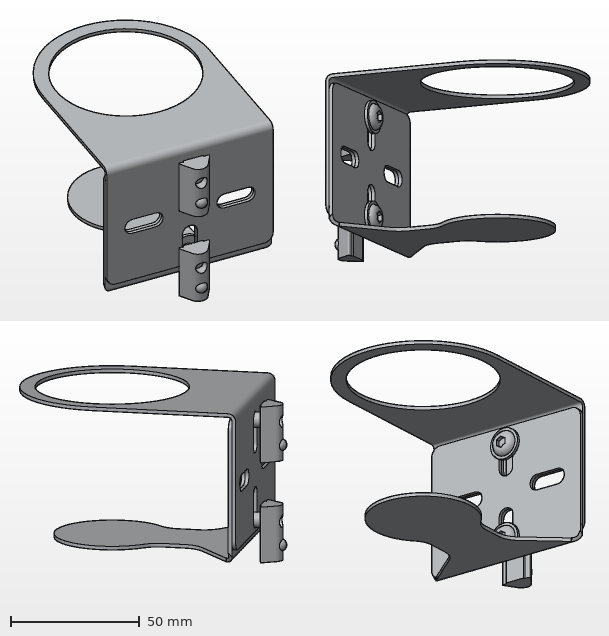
import cadquery as cq
import math


overall_length = 105.5

sheet = 1.5
bracket_width = 72.0
bracket_height = 60.0
flange_back_x = 57.0
joint_x = flange_back_x - sheet
flange_front_x = joint_x - sheet
bend_inner_radius = 1.5
bend_outer_radius = bend_inner_radius + sheet
flange_corner_radius = 4.0
half_width = bracket_width / 2

ring_hole_diameter = 60.0
ring_flange_bottom_z = 5.0

disc_diameter = 45.4
neck_width = 26.0
neck_end_x = 36.4
neck_fillet = 10.0
taper_end_width = 65.2
support_flange_top_z = bracket_height - bend_outer_radius

screw_pitch = 40.0
screw_middle_z = 29.6
screw_heights = [screw_middle_z - screw_pitch / 2, screw_middle_z + screw_pitch / 2]

slot_width = 6.5
slot_length = 16.5
slot_travel = slot_length - slot_width
side_slot_offset = 19.9
side_slot_z = bracket_height / 2
center_slot_offset = (screw_pitch - slot_travel) / 2

shank_diameter = 6.0
shank_length = 10.0
head_flange_diameter = 13.0
head_flange_thickness = 1.3
dome_base_diameter = 10.5
dome_top_diameter = 5.2
dome_height = 2.2
socket_across_flats = 4.0
socket_depth = 1.7

nut_length = 22.3
nut_front_x = 59.7
nut_shoulder_x = 60.3
nut_lip_front_width = 8.3
nut_lip_root_width = 9.0
nut_nose_radius = 4.0
nut_nose_tip_x = 67.9
nut_side_angle = 32
nut_corner_radius = 0.47
thread_bore_diameter = 5.0
screw_above_nut_middle = 4.4
ball_diameter = 5.0
ball_below_screw = 9.5
ball_tip_x = overall_length - half_width


def angle_section(points, bend_radii):
    """Bent strip of full width: an L section in XZ, with its two bend edges rounded."""
    strip = cq.Workplane("XZ").polyline(points).close().extrude(half_width, both=True)
    for (x, z), radius in bend_radii:
        bend_edge = cq.selectors.NearestToPointSelector((x, 0, z))
        strip = strip.edges(bend_edge).fillet(radius)
    return strip


def slot_cutter():
    """The four slots of a flange, long enough to pass through both flanges."""
    depth = 4 * sheet
    plane = cq.Plane(origin=(flange_front_x - sheet, 0, 0), xDir=(0, 1, 0), normal=(1, 0, 0))
    side_slots = (
        cq.Workplane(plane)
        .pushPoints([(-side_slot_offset, side_slot_z), (side_slot_offset, side_slot_z)])
        .slot2D(slot_length, slot_width)
        .extrude(depth)
    )
    center_slots = (
        cq.Workplane(plane)
        .pushPoints([
            (0, screw_middle_z - center_slot_offset),
            (0, screw_middle_z + center_slot_offset),
        ])
        .slot2D(slot_length, slot_width, 90)
        .extrude(depth)
    )
    return side_slots.union(center_slots)


def make_ring_bracket():
    plate_bottom_z = bracket_height - sheet
    body = angle_section(
        [
            (-half_width, bracket_height),
            (flange_back_x, bracket_height),
            (flange_back_x, ring_flange_bottom_z),
            (joint_x, ring_flange_bottom_z),
            (joint_x, plate_bottom_z),
            (-half_width, plate_bottom_z),
        ],
        [
            ((flange_back_x, bracket_height), bend_outer_radius),
            ((joint_x, plate_bottom_z), bend_inner_radius),
        ],
    )
    outline = (
        cq.Workplane("XY")
        .moveTo(0, half_width)
        .threePointArc((-half_width, 0), (0, -half_width))
        .lineTo(flange_back_x, -half_width)
        .lineTo(flange_back_x, half_width)
        .close()
        .extrude(bracket_height)
    )
    ring_hole = cq.Workplane("XY").circle(ring_hole_diameter / 2).extrude(bracket_height)
    body = body.intersect(outline.cut(ring_hole))
    body = body.edges("|X").edges("<Z").fillet(flange_corner_radius)
    return body.cut(slot_cutter())


def support_outline():
    """Plan shape of the support bracket: disc, neck and taper, then the full-width flange."""
    bend_start_x = joint_x - bend_outer_radius
    half_neck = neck_width / 2
    half_taper = taper_end_width / 2
    disc = cq.Workplane("XY").circle(disc_diameter / 2).extrude(bracket_height)
    neck = (
        cq.Workplane("XY")
        .polyline([
            (0, -half_neck),
            (neck_end_x, -half_neck),
            (bend_start_x, -half_taper),
            (bend_start_x, half_taper),
            (neck_end_x, half_neck),
            (0, half_neck),
        ])
        .close()
        .extrude(bracket_height)
    )
    inner_corners = cq.selectors.BoxSelector(
        (0, -half_width, 0), (neck_end_x + sheet, half_width, bracket_height)
    )
    arm = disc.union(neck).edges("|Z").edges(inner_corners).fillet(neck_fillet)
    flange = (
        cq.Workplane("XY")
        .rect(bend_outer_radius, bracket_width)
        .extrude(bracket_height)
        .translate((joint_x - bend_outer_radius / 2, 0, 0))
    )
    return arm.union(flange)


def bend_corner_cutter():
    """Trims both ends of the lower bend so that its width runs on from the taper."""
    bend_axis = (joint_x - bend_outer_radius, 0, bend_outer_radius)
    plane = cq.Plane(origin=bend_axis, xDir=(1, 0, 1), normal=(1, 0, -1))
    reach = bend_outer_radius / math.sqrt(2)
    half_taper = taper_end_width / 2
    corner = [(-reach, half_taper), (reach, half_width), (-reach, half_width)]
    cutter = cq.Workplane(plane).polyline(corner).close().extrude(2 * bend_outer_radius)
    return cutter.union(cutter.mirror("XZ"))


def make_support_bracket():
    body = angle_section(
        [
            (-disc_diameter / 2, 0),
            (joint_x, 0),
            (joint_x, support_flange_top_z),
            (flange_front_x, support_flange_top_z),
            (flange_front_x, sheet),
            (-disc_diameter / 2, sheet),
        ],
        [
            ((joint_x, 0), bend_outer_radius),
            ((flange_front_x, sheet), bend_inner_radius),
        ],
    )
    body = body.intersect(support_outline())
    body = body.edges("|X").edges(">Z").fillet(flange_corner_radius)
    return body.cut(bend_corner_cutter()).cut(slot_cutter())


def make_screw(z):
    """Flanged button-head screw along +X, seated on the front face of the support flange."""
    dome_base = head_flange_thickness
    dome_top = dome_base + dome_height
    profile = (
        cq.Workplane("XY")
        .moveTo(0, 0)
        .lineTo(-dome_top, 0)
        .lineTo(-dome_top, dome_top_diameter / 2)
        .tangentArcPoint((-dome_base, dome_base_diameter / 2), relative=False)
        .lineTo(-dome_base, head_flange_diameter / 2)
        .lineTo(0, head_flange_diameter / 2)
        .lineTo(0, shank_diameter / 2)
        .lineTo(shank_length, shank_diameter / 2)
        .lineTo(shank_length, 0)
        .close()
    )
    screw = profile.revolve(360, (0, 0, 0), (1, 0, 0))
    socket_plane = cq.Plane(origin=(-dome_top, 0, 0), xDir=(0, 0, 1), normal=(1, 0, 0))
    socket_corner_diameter = socket_across_flats / math.cos(math.radians(30))
    socket = cq.Workplane(socket_plane).polygon(6, socket_corner_diameter).extrude(socket_depth)
    return screw.cut(socket).translate((flange_front_x, 0, z))


def make_slot_nut(screw_z):
    """Wedge-shaped slot nut with a round nose, bored for its screw and carrying a ball."""
    slope = math.radians(nut_side_angle)
    nose_center_x = nut_nose_tip_x - nut_nose_radius
    nose_start_x = nose_center_x + nut_nose_radius * math.sin(slope)
    nose_start_y = nut_nose_radius * math.cos(slope)
    corner_y = nose_start_y + (nose_start_x - nut_shoulder_x) * math.tan(slope)
    lip_front_y = nut_lip_front_width / 2
    lip_root_y = nut_lip_root_width / 2
    bottom_z = screw_z - screw_above_nut_middle - nut_length / 2

    nut = (
        cq.Workplane("XY", origin=(0, 0, bottom_z))
        .moveTo(nut_front_x, lip_front_y)
        .lineTo(nut_shoulder_x, lip_root_y)
        .lineTo(nut_shoulder_x, corner_y)
        .lineTo(nose_start_x, nose_start_y)
        .threePointArc((nut_nose_tip_x, 0), (nose_start_x, -nose_start_y))
        .lineTo(nut_shoulder_x, -corner_y)
        .lineTo(nut_shoulder_x, -lip_root_y)
        .lineTo(nut_front_x, -lip_front_y)
        .close()
        .extrude(nut_length)
    )
    nut = nut.edges("|Z").edges("<Y or >Y").fillet(nut_corner_radius)

    ball_x = ball_tip_x - ball_diameter / 2
    ball = cq.Workplane("XY").sphere(ball_diameter / 2)
    nut = nut.union(ball.translate((ball_x, 0, screw_z - ball_below_screw)))

    bore_plane = cq.Plane(origin=(flange_front_x, 0, screw_z), xDir=(0, 1, 0), normal=(1, 0, 0))
    screw_seat = cq.Workplane(bore_plane).circle(shank_diameter / 2).extrude(shank_length)
    thread_bore_length = nut_nose_tip_x - flange_front_x
    thread_bore = cq.Workplane(bore_plane).circle(thread_bore_diameter / 2).extrude(thread_bore_length)
    return nut.cut(screw_seat).cut(thread_bore)


ring_bracket = make_ring_bracket()
support_bracket = make_support_bracket()
screws = [make_screw(z) for z in screw_heights]
slot_nuts = [make_slot_nut(z) for z in screw_heights]

result = cq.Compound.makeCompound([
    ring_bracket.val(),
    support_bracket.val(),
    *[screw.val() for screw in screws],
    *[nut.val() for nut in slot_nuts],
])